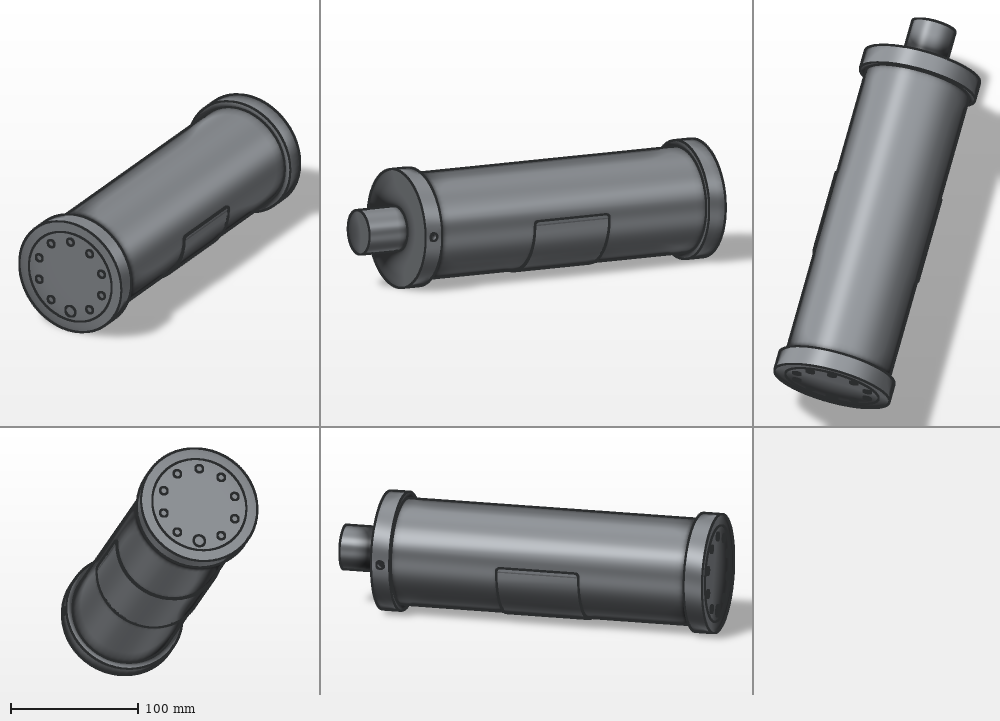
import cadquery as cq
import math

TOTAL_LENGTH = 304.3
FLANGE_DIAMETER = 94.0
FLANGE_LENGTH = 15.0
BARREL_DIAMETER = 84.0
DISC_DIAMETER = 76.0
SHAFT_DIAMETER = 35.3
SHAFT_LENGTH = 34.0

PORT_CIRCLE_RADIUS = 30.0
PORT_POSITIONS = 10
SMALL_PORT_DIAMETER = 6.0
LARGE_PORT_DIAMETER = 9.0
PORT_DEPTH = 0.3

SIDE_HOLE_DIAMETER = 6.0
SIDE_HOLE_DEPTH = 9.0

SADDLE_THICKNESS = 1.0
SADDLE_LENGTH = 67.0
SADDLE_START = 102.2
SADDLE_LIP_HEIGHT = 3.3
SADDLE_CORNER_RADIUS = 3.0

REAR_FACE = TOTAL_LENGTH - SHAFT_LENGTH
REAR_FLANGE_START = REAR_FACE - FLANGE_LENGTH


def cylinder(diameter, start, length):
    """Solid cylinder on the Y axis, from start towards +Y."""
    return cq.Workplane("XZ", origin=(0, start, 0)).circle(diameter / 2).extrude(-length)


def make_barrel():
    """Cylindrical barrel between the two flanges."""
    length = REAR_FLANGE_START - FLANGE_LENGTH
    return cylinder(BARREL_DIAMETER, FLANGE_LENGTH, length)


def make_front_ring():
    """Front flange, open in the middle for the port disc."""
    outside = cylinder(FLANGE_DIAMETER, 0, FLANGE_LENGTH)
    return outside.cut(cylinder(DISC_DIAMETER, 0, FLANGE_LENGTH))


def make_port_disc():
    """Disc filling the front ring, with a circle of very shallow round recesses, the lowest one larger."""
    disc = cylinder(DISC_DIAMETER, 0, FLANGE_LENGTH)
    for position in range(PORT_POSITIONS):
        angle = math.radians(-90 + position * 360 / PORT_POSITIONS)
        diameter = LARGE_PORT_DIAMETER if position == 0 else SMALL_PORT_DIAMETER
        x = PORT_CIRCLE_RADIUS * math.cos(angle)
        z = PORT_CIRCLE_RADIUS * math.sin(angle)
        port = cylinder(diameter, 0, PORT_DEPTH).translate((x, 0, z))
        disc = disc.cut(port)
    return disc


def make_rear_flange():
    """Rear end plate with a blind radial hole on its -X side."""
    flange = cylinder(FLANGE_DIAMETER, REAR_FLANGE_START, FLANGE_LENGTH)
    hole_y = REAR_FLANGE_START + FLANGE_LENGTH / 2
    hole = (
        cq.Workplane("YZ", origin=(-FLANGE_DIAMETER / 2, hole_y, 0))
        .circle(SIDE_HOLE_DIAMETER / 2)
        .extrude(SIDE_HOLE_DEPTH)
    )
    return flange.cut(hole)


def make_shaft():
    """Stub shaft standing on the rear flange."""
    return cylinder(SHAFT_DIAMETER, REAR_FACE, SHAFT_LENGTH)


def make_saddle():
    """Thin U-shaped sheet around the lower half of the barrel, with short upright lips."""
    outer_radius = BARREL_DIAMETER / 2 + SADDLE_THICKNESS
    inner_radius = BARREL_DIAMETER / 2
    sheet = (
        cq.Workplane("XZ", origin=(0, SADDLE_START, 0))
        .moveTo(-outer_radius, SADDLE_LIP_HEIGHT)
        .lineTo(-outer_radius, 0)
        .threePointArc((0, -outer_radius), (outer_radius, 0))
        .lineTo(outer_radius, SADDLE_LIP_HEIGHT)
        .lineTo(inner_radius, SADDLE_LIP_HEIGHT)
        .lineTo(inner_radius, 0)
        .threePointArc((0, -inner_radius), (-inner_radius, 0))
        .lineTo(-inner_radius, SADDLE_LIP_HEIGHT)
        .close()
        .extrude(-SADDLE_LENGTH)
    )
    lip_corners = cq.selectors.BoxSelector(
        (-FLANGE_DIAMETER, 0, SADDLE_LIP_HEIGHT / 2),
        (FLANGE_DIAMETER, TOTAL_LENGTH, 2 * SADDLE_LIP_HEIGHT),
    )
    return sheet.edges("|X").edges(lip_corners).fillet(SADDLE_CORNER_RADIUS)


barrel = make_barrel()
front_ring = make_front_ring()
port_disc = make_port_disc()
rear_flange = make_rear_flange()
shaft = make_shaft()
saddle = make_saddle()

result = cq.Compound.makeCompound([
    barrel.val(),
    front_ring.val(),
    port_disc.val(),
    rear_flange.val(),
    shaft.val(),
    saddle.val(),
])